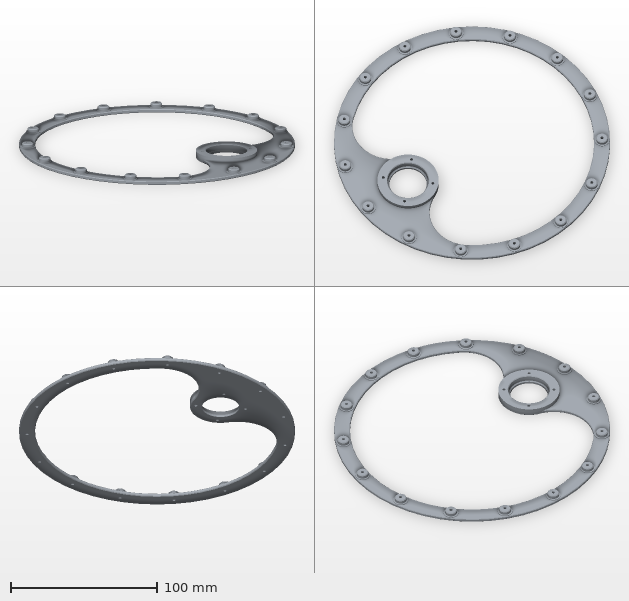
import cadquery as cq
import math

outer_radius = 94.5
opening_radius = 83.5
plate_thickness = 2.5
edge_chamfer = 0.5
total_height = 5.5

flange_x = 54.8
flange_radius = 42.0 / 2
bore_radius = 25.5 / 2
seat_radius = 28.2 / 2
seat_floor = 1.5
seat_rim_chamfer = 0.5
flange_hole_offset = 12.1

blend_radius = 27.0
blend_overlap = 0.1
neck_radius = flange_radius - blend_overlap

boss_count = 15
boss_circle_radius = 89.0
boss_diameter = 8.0
boss_foot_diameter = 10.0
boss_foot_height = 0.5
boss_foot_top = plate_thickness + boss_foot_height
boss_top_chamfer = 0.5
boss_root = plate_thickness / 2

screw_hole_diameter = 2.0


def blend_centre():
    """Centre of the upper arc, tangent inside the opening and outside the neck circle."""
    from_origin = opening_radius - blend_radius
    from_flange = neck_radius + blend_radius
    x = (from_origin**2 - from_flange**2 + flange_x**2) / (2 * flange_x)
    return x, math.sqrt(from_origin**2 - x**2)


def opening():
    """Cutter for the ring opening; its straight sides run to the flange axis, inside the flange."""
    centre_x, centre_y = blend_centre()
    ring_scale = opening_radius / (opening_radius - blend_radius)
    ring_x = centre_x * ring_scale
    ring_y = centre_y * ring_scale
    flange_scale = neck_radius / (neck_radius + blend_radius)
    neck_x = flange_x + (centre_x - flange_x) * flange_scale
    neck_y = centre_y * flange_scale
    blend_x = centre_x + blend_radius
    return (
        cq.Workplane("XY")
        .moveTo(ring_x, ring_y)
        .threePointArc((-opening_radius, 0), (ring_x, -ring_y))
        .threePointArc((blend_x, -centre_y), (neck_x, -neck_y))
        .lineTo(flange_x, 0)
        .lineTo(neck_x, neck_y)
        .threePointArc((blend_x, centre_y), (ring_x, ring_y))
        .close()
        .extrude(plate_thickness)
    )


def plate():
    disc = cq.Workplane("XY").circle(outer_radius).extrude(plate_thickness)
    return disc.cut(opening()).faces("<Z or >Z").edges().chamfer(edge_chamfer)


def boss():
    """Stepped round boss: a low wide foot and a narrower body with a chamfered rim."""
    base = cq.Workplane("XY", origin=(0, 0, boss_root))
    foot = base.circle(boss_foot_diameter / 2).extrude(boss_foot_top - boss_root)
    body = base.circle(boss_diameter / 2).extrude(total_height - boss_root)
    return foot.union(body.faces(">Z").chamfer(boss_top_chamfer))


def screw_holes(points):
    return cq.Workplane("XY").pushPoints(points).circle(screw_hole_diameter / 2).extrude(total_height)


def flange():
    body = cq.Workplane("XY").circle(flange_radius).extrude(total_height)
    return body.faces("<Z").chamfer(edge_chamfer).translate((flange_x, 0, 0))


def bearing_bore():
    """Through bore, the wider seat above it and the flare at the rim of the seat."""
    bore = cq.Workplane("XY").circle(bore_radius).extrude(total_height)
    seat_base = cq.Workplane("XY", origin=(0, 0, seat_floor))
    seat = seat_base.circle(seat_radius).extrude(total_height - seat_floor)
    rim = (
        cq.Workplane("XY", origin=(0, 0, total_height))
        .circle(seat_radius + seat_rim_chamfer)
        .extrude(-seat_rim_chamfer, taper=45)
    )
    return bore.union(seat).union(rim).translate((flange_x, 0, 0))


boss_points = []
for index in range(boss_count):
    angle = 2 * math.pi * index / boss_count
    boss_points.append((boss_circle_radius * math.cos(angle), boss_circle_radius * math.sin(angle)))

flange_hole_points = [
    (flange_x + side_x * flange_hole_offset, side_y * flange_hole_offset)
    for side_x in (-1, 1)
    for side_y in (-1, 1)
]

result = plate().union(flange())
for x, y in boss_points:
    result = result.union(boss().translate((x, y, 0)))
result = result.cut(bearing_bore()).cut(screw_holes(boss_points + flange_hole_points))